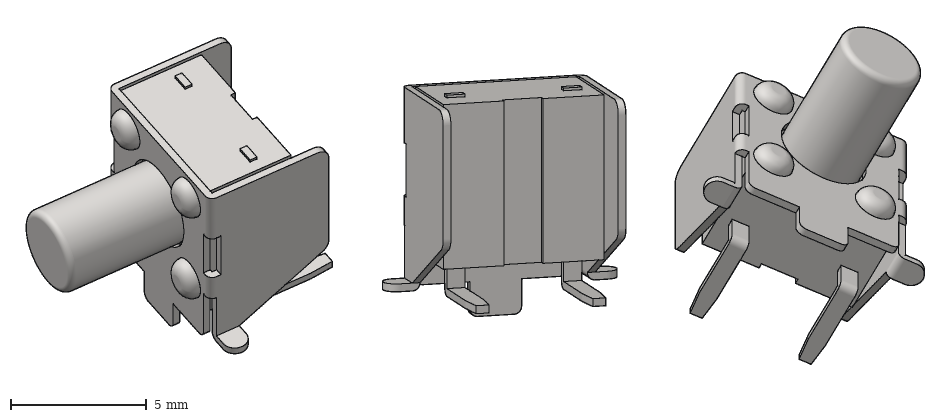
import cadquery as cq


SHEET = 0.3
CUT_MARGIN = 1.0

HOUSING_WIDTH = 6.2
HOUSING_HEIGHT = 6.2
HOUSING_BACK = 3.82
NOTCH_WIDTH = 1.5
NOTCH_DEPTH = 0.2

STAKE_DIAMETER = 1.6
STAKE_PITCH = 4.2
STAKE_PROTRUSION = 0.5

PLUNGER_DIAMETER = 3.3
PLUNGER_PROTRUSION = 4.85
PLUNGER_ROUNDING = 0.25
PLUNGER_HOLE_DIAMETER = 3.5

BRACKET_WIDTH = 7.05
BRACKET_TOP = HOUSING_HEIGHT / 2
BRACKET_BOTTOM = -4.38
CHEEK_BACK = 5.2
CHEEK_ROUNDING = 0.5
CHEEK_SLOPE_TOP = -2.0
WINDOW_HEIGHT = 2.0
WINDOW_BACK = 0.5
CORNER_SLIT_TOP = -2.1
CORNER_ROUNDING = 0.3
TONGUE_WIDTH = 2.0
TONGUE_BOTTOM = -5.7
FOOT_SPAN = 9.0
FOOT_WIDTH = 1.0

TERMINAL_PITCH = 4.5
TERMINAL_WIDTH = 0.7
TERMINAL_TIP_WIDTH = 0.5
TERMINAL_TAPER = 1.0
TERMINAL_FRONT = 2.35
TERMINAL_TOP = HOUSING_HEIGHT / 2 + 0.1
TERMINAL_BOTTOM = BRACKET_BOTTOM
TERMINAL_BACK = 6.0


def box(x_range, y_range, z_range):
    """Box between two limits along each axis."""
    size = [high - low for low, high in (x_range, y_range, z_range)]
    corner = (x_range[0], y_range[0], z_range[0])
    return cq.Workplane("XY").box(*size, centered=False).translate(corner)


def front_cylinder(diameter, y_front, y_back, points=((0, 0),)):
    """Cylinders along Y between two depths, centred on the given (x, z) points."""
    plane = cq.Workplane("XZ", origin=(0, y_back, 0))
    return plane.pushPoints(points).circle(diameter / 2).extrude(y_back - y_front)


def stake_centres():
    half = STAKE_PITCH / 2
    return [(x, z) for x in (-half, half) for z in (-half, half)]


def make_terminal(x_centre):
    """L-shaped terminal: an upright blade bent backward into a tapered leg."""
    front, back = TERMINAL_FRONT, TERMINAL_FRONT + SHEET
    half_width = TERMINAL_WIDTH / 2
    profile = (
        cq.Workplane("YZ", origin=(x_centre - half_width, 0, 0))
        .moveTo(front, TERMINAL_TOP)
        .lineTo(back, TERMINAL_TOP)
        .lineTo(back, TERMINAL_BOTTOM + SHEET)
        .lineTo(TERMINAL_BACK, TERMINAL_BOTTOM + SHEET)
        .lineTo(TERMINAL_BACK, TERMINAL_BOTTOM)
        .lineTo(back, TERMINAL_BOTTOM)
        .radiusArc((front, TERMINAL_BOTTOM + SHEET), SHEET)
        .close()
        .extrude(TERMINAL_WIDTH)
    )
    tip_half_width = TERMINAL_TIP_WIDTH / 2
    taper_start = TERMINAL_BACK - TERMINAL_TAPER
    plan = (
        cq.Workplane("XY", origin=(x_centre, 0, TERMINAL_BOTTOM))
        .moveTo(-half_width, front)
        .lineTo(half_width, front)
        .lineTo(half_width, taper_start)
        .lineTo(tip_half_width, TERMINAL_BACK)
        .lineTo(-tip_half_width, TERMINAL_BACK)
        .lineTo(-half_width, taper_start)
        .close()
        .extrude(TERMINAL_TOP - TERMINAL_BOTTOM)
    )
    return profile.intersect(plan)


def make_housing(terminals):
    """Housing block in one piece with its plunger and the four bracket stakes."""
    half_width, half_height = HOUSING_WIDTH / 2, HOUSING_HEIGHT / 2
    body = box((-half_width, half_width), (SHEET, HOUSING_BACK), (-half_height, half_height))
    notch = box(
        (-NOTCH_WIDTH / 2, NOTCH_WIDTH / 2),
        (HOUSING_BACK - NOTCH_DEPTH, HOUSING_BACK + CUT_MARGIN),
        (-half_height - CUT_MARGIN, half_height + CUT_MARGIN),
    )
    stakes = front_cylinder(STAKE_DIAMETER, -STAKE_PROTRUSION, SHEET, stake_centres())
    stakes = stakes.faces("<Y").edges().fillet(STAKE_PROTRUSION)
    plunger = front_cylinder(PLUNGER_DIAMETER, -PLUNGER_PROTRUSION, SHEET)
    plunger = plunger.faces("<Y").edges().fillet(PLUNGER_ROUNDING)
    body = body.cut(notch).union(stakes).union(plunger)
    for terminal in terminals:
        body = body.cut(terminal)
    return body


def make_channel():
    """Front plate and two cheeks bent from one sheet, before any edges are shaped."""
    half_width = BRACKET_WIDTH / 2
    outside = box((-half_width, half_width), (0, CHEEK_BACK), (TONGUE_BOTTOM, BRACKET_TOP))
    outside = outside.faces("<Y").edges("|Z").fillet(SHEET)
    inside = box(
        (-half_width + SHEET, half_width - SHEET),
        (SHEET, CHEEK_BACK + CUT_MARGIN),
        (TONGUE_BOTTOM, BRACKET_TOP),
    )
    return outside.cut(inside)


def cheek_outline():
    """Side profile of the bracket, as wide as the bracket; the front plate is left whole."""
    slope_end = SHEET + FOOT_WIDTH
    return (
        cq.Workplane("YZ", origin=(-BRACKET_WIDTH / 2, 0, 0))
        .moveTo(0, BRACKET_TOP)
        .lineTo(CHEEK_BACK, BRACKET_TOP)
        .lineTo(CHEEK_BACK, CHEEK_SLOPE_TOP)
        .lineTo(slope_end, BRACKET_BOTTOM + SHEET)
        .lineTo(SHEET, BRACKET_BOTTOM + SHEET)
        .lineTo(SHEET, TONGUE_BOTTOM)
        .lineTo(0, TONGUE_BOTTOM)
        .close()
        .extrude(BRACKET_WIDTH)
        .edges("|X and >Y")
        .fillet(CHEEK_ROUNDING)
    )


def front_plate_trim():
    """Material removed beside and below the tongue to leave the front plate's lower edge."""
    half_plate, half_bracket = HOUSING_WIDTH / 2, BRACKET_WIDTH / 2
    half_tongue = TONGUE_WIDTH / 2
    waste = box((-half_bracket, half_bracket), (0, SHEET), (TONGUE_BOTTOM, CORNER_SLIT_TOP))
    plate = box((-half_plate, half_plate), (0, SHEET), (BRACKET_BOTTOM, CORNER_SLIT_TOP))
    plate = plate.faces("<Z").edges("|Y").fillet(CORNER_ROUNDING)
    tongue = box((-half_tongue, half_tongue), (0, SHEET), (TONGUE_BOTTOM, CORNER_SLIT_TOP))
    tongue = tongue.faces("<Z").edges("|Y").fillet(CORNER_ROUNDING)
    return waste.cut(plate).cut(tongue)


def bend_window(side):
    """Window through one bend; side is -1 or 1."""
    x_limits = sorted((side * HOUSING_WIDTH / 2, side * (BRACKET_WIDTH / 2 + CUT_MARGIN)))
    half_height = WINDOW_HEIGHT / 2
    return box(x_limits, (0, WINDOW_BACK), (-half_height, half_height))


def mounting_foot(side):
    """Round-ended foot bent outward from the bottom of one cheek; side is -1 or 1."""
    outer = BRACKET_WIDTH / 2
    inner = outer - SHEET
    foot_x = FOOT_SPAN / 2
    y_front, y_back = SHEET, SHEET + FOOT_WIDTH
    foot_top = BRACKET_BOTTOM + SHEET
    foot = (
        cq.Workplane("XZ", origin=(0, y_back, 0))
        .moveTo(inner, foot_top)
        .lineTo(foot_x, foot_top)
        .lineTo(foot_x, BRACKET_BOTTOM)
        .lineTo(outer, BRACKET_BOTTOM)
        .radiusArc((inner, foot_top), SHEET)
        .close()
        .extrude(FOOT_WIDTH)
    )
    end_radius = FOOT_WIDTH / 2
    plan = (
        cq.Workplane("XY", origin=(0, 0, BRACKET_BOTTOM))
        .moveTo(inner, y_front)
        .lineTo(foot_x - end_radius, y_front)
        .threePointArc((foot_x, y_front + end_radius), (foot_x - end_radius, y_back))
        .lineTo(inner, y_back)
        .close()
        .extrude(SHEET)
    )
    foot = foot.intersect(plan)
    return foot if side > 0 else foot.mirror("YZ")


def make_bracket():
    bracket = make_channel().intersect(cheek_outline()).cut(front_plate_trim())
    for side in (-1, 1):
        bracket = bracket.cut(bend_window(side)).union(mounting_foot(side))
    bracket = bracket.cut(front_cylinder(PLUNGER_HOLE_DIAMETER, 0, SHEET))
    return bracket.cut(front_cylinder(STAKE_DIAMETER, 0, SHEET, stake_centres()))


terminals = [make_terminal(side * TERMINAL_PITCH / 2) for side in (-1, 1)]
housing = make_housing(terminals)
bracket = make_bracket()

result = cq.Compound.makeCompound(
    [housing.val(), bracket.val(), *[terminal.val() for terminal in terminals]]
)